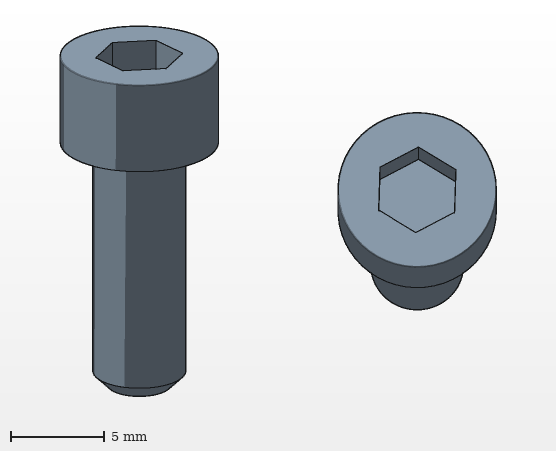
import cadquery as cq
import math

total_length = 19.0
head_diameter = 8.5
shank_diameter = 5.0
head_height = shank_diameter
shank_length = total_length - head_height
head_edge_round = 0.04
tip_chamfer = 0.8
hex_across_flats = 4.07
hex_depth = 0.6 * head_height


def make_head():
    head = cq.Workplane("XY").circle(head_diameter / 2).extrude(head_height)
    return head.faces(">Z").edges().fillet(head_edge_round)


def make_shank():
    shank = cq.Workplane("XY").circle(shank_diameter / 2).extrude(-shank_length)
    return shank.faces("<Z").edges().chamfer(tip_chamfer)


def make_hex_socket():
    """Blind hexagon with two corners on the X axis."""
    across_corners = hex_across_flats / math.cos(math.pi / 6)
    return (
        cq.Workplane("XY", origin=(0, 0, head_height))
        .polygon(6, across_corners)
        .extrude(-hex_depth)
    )


result = make_head().union(make_shank()).cut(make_hex_socket())